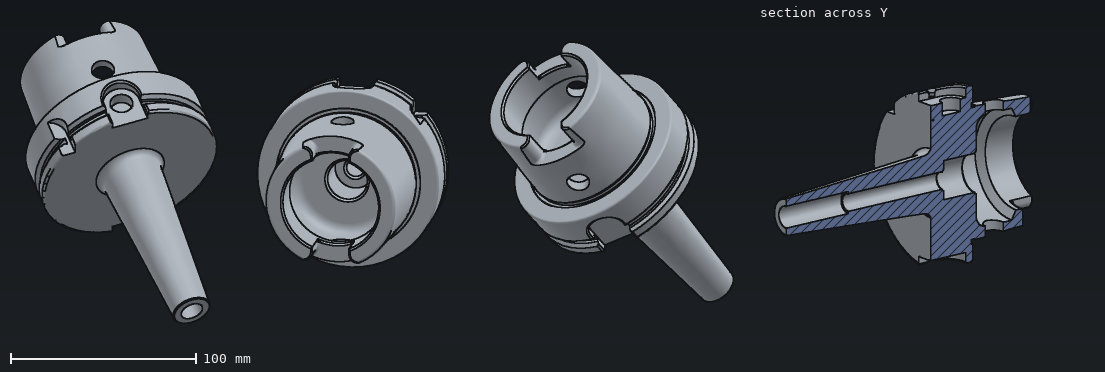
import cadquery as cq
import math

total_length = 179.0
flange_front = 49.7
flange_back = 79.0
neck_blend_end = 83.7

shank_radius = 38.0
shank_end = 47.6
taper_slope = 0.05
shank_mouth_radius = shank_radius - taper_slope * shank_end
shank_mouth_round = 1.8

undercut_radius = 37.4
undercut_start = 48.7
undercut_depth = 1.0
undercut_outer_radius = 39.7

flange_diameter = 100.0
flange_radius = flange_diameter / 2
flange_edge_round = 1.3
groove_front = 66.4
groove_back = 73.0
groove_front_run = 1.8
groove_back_run = 1.3
groove_slope_depth = 2.3
groove_depth = 4.1
groove_radius = flange_radius - groove_depth

neck_flare_radius = 19.5
nose_base_radius = 16.5
nose_tip_radius = 10.5
nose_tip_chamfer = 0.5
neck_blend_radius = 5.4

bore_radius = 26.3
bore_depth = 47.2
clamping_shoulder = 20.0
clamping_angle = 60.0
clamping_radius = 31.5
bore_floor_round = 7.0
bore_edge_chamfer = 1.0
thread_radius = 11.0
thread_depth = 69.8
thread_chamfer = 1.3
tool_bore_radius = 6.0
coolant_end = 136.0
coolant_radius = 4.8
coolant_chamfer = tool_bore_radius - coolant_radius

notch_half_width = 10.0
notch_shoulder = 32.0
lug_round = 4.7
notch_floor_round = 1.8
lug_edge_chamfer = 0.9
upper_notch_depth = 9.8
lower_notch_depth = 15.2

cross_hole_radius = 6.0
cross_hole_x = 34.9

slot_half_width = 10.0
slot_centre_x = 64.8
slot_floor = 43.8
slot_edge_chamfer = 1.0
pocket_hole_radius = 6.0
pocket_hole_depth = 7.2
corner_notch_offset = 31.5


def revolve_about_x(outline):
    return outline.close().revolve(360, (0, 0, 0), (1, 0, 0))


def make_shank():
    outline = (
        cq.Workplane("XY")
        .lineTo(0, shank_mouth_radius)
        .lineTo(shank_end, shank_radius)
        .lineTo(undercut_start, undercut_radius)
        .lineTo(flange_front + undercut_depth, undercut_radius)
        .lineTo(flange_front + undercut_depth, 0)
    )
    return revolve_about_x(outline).faces("<X").edges().fillet(shank_mouth_round)


def make_flange():
    undercut_floor = flange_front + undercut_depth
    slope_radius = flange_radius - groove_slope_depth
    outline = (
        cq.Workplane("XY")
        .moveTo(undercut_floor, 0)
        .lineTo(undercut_floor, undercut_outer_radius)
        .lineTo(flange_front, undercut_outer_radius)
        .lineTo(flange_front, flange_radius - flange_edge_round)
        .radiusArc((flange_front + flange_edge_round, flange_radius), flange_edge_round)
        .lineTo(groove_front, flange_radius)
        .lineTo(groove_front + groove_front_run, slope_radius)
        .lineTo(groove_front + groove_front_run, groove_radius)
        .lineTo(groove_back - groove_back_run, groove_radius)
        .lineTo(groove_back - groove_back_run, slope_radius)
        .lineTo(groove_back, flange_radius)
        .lineTo(flange_back - flange_edge_round, flange_radius)
        .radiusArc((flange_back, flange_radius - flange_edge_round), flange_edge_round)
        .lineTo(flange_back, 0)
    )
    return revolve_about_x(outline)


def make_nose():
    outline = (
        cq.Workplane("XY")
        .moveTo(flange_back, 0)
        .lineTo(flange_back, neck_flare_radius)
        .radiusArc((neck_blend_end, nose_base_radius), -neck_blend_radius)
        .lineTo(total_length, nose_tip_radius)
        .lineTo(total_length, 0)
    )
    return revolve_about_x(outline).faces(">X").edges().chamfer(nose_tip_chamfer)


def make_bore():
    clamping_run = (clamping_radius - bore_radius) / math.tan(math.radians(clamping_angle))
    outline = (
        cq.Workplane("XY")
        .lineTo(0, bore_radius + bore_edge_chamfer)
        .lineTo(bore_edge_chamfer, bore_radius)
        .lineTo(clamping_shoulder, bore_radius)
        .lineTo(clamping_shoulder + clamping_run, clamping_radius)
        .lineTo(bore_depth - bore_floor_round, clamping_radius)
        .radiusArc((bore_depth, clamping_radius - bore_floor_round), bore_floor_round)
        .lineTo(bore_depth, thread_radius + thread_chamfer)
        .lineTo(bore_depth + thread_chamfer, thread_radius)
        .lineTo(thread_depth, thread_radius)
        .lineTo(thread_depth, tool_bore_radius)
        .lineTo(thread_depth + coolant_chamfer, coolant_radius)
        .lineTo(coolant_end, coolant_radius)
        .lineTo(coolant_end, tool_bore_radius)
        .lineTo(total_length, tool_bore_radius)
        .lineTo(total_length, 0)
    )
    return revolve_about_x(outline)


def notch_outline(plane, widening):
    """Closed notch profile: narrow at the bore, spreading over the rounded shoulders of the lugs."""
    half_width = notch_half_width + widening
    shoulder = notch_shoulder - widening
    corner_round = lug_round - widening
    round_y = half_width + corner_round
    round_z = shoulder - corner_round
    return (
        plane.moveTo(-half_width, 0)
        .lineTo(-half_width, round_z)
        .radiusArc((-round_y, shoulder), -corner_round)
        .lineTo(-flange_radius, shoulder)
        .lineTo(-flange_radius, flange_radius)
        .lineTo(flange_radius, flange_radius)
        .lineTo(flange_radius, shoulder)
        .lineTo(round_y, shoulder)
        .radiusArc((half_width, round_z), -corner_round)
        .lineTo(half_width, 0)
        .close()
    )


def key_notch(depth):
    """Notch opening towards +Z, with chamfered lug faces and a chamfered bore edge on its floor."""
    notch = notch_outline(cq.Workplane("YZ"), 0).extrude(depth)
    notch = notch.faces(">X").edges().fillet(notch_floor_round)
    lug_chamfer = notch_outline(cq.Workplane("YZ"), lug_edge_chamfer).extrude(lug_edge_chamfer, taper=45)
    floor_chamfer = cq.Workplane(
        cq.Solid.makeCone(
            bore_radius + bore_edge_chamfer,
            bore_radius,
            bore_edge_chamfer,
            pnt=cq.Vector(depth, 0, 0),
            dir=cq.Vector(1, 0, 0),
        )
    )
    floor_width = 2 * notch_half_width
    above_axis = cq.Workplane("XY").box(
        total_length, floor_width, flange_radius, centered=(True, True, False)
    )
    return notch.union(lug_chamfer).union(floor_chamfer.intersect(above_axis))


def round_ended_slot(centre_y, floor_z):
    """Slot running along X, open towards +Z and out through the back of the flange."""
    return (
        cq.Workplane("XY", origin=(0, centre_y, floor_z))
        .moveTo(flange_back, slot_half_width)
        .lineTo(slot_centre_x, slot_half_width)
        .threePointArc((slot_centre_x - slot_half_width, 0), (slot_centre_x, -slot_half_width))
        .lineTo(flange_back, -slot_half_width)
        .close()
        .extrude(flange_radius - floor_z)
    )


def turn_over(cutter):
    return cutter.rotate((0, 0, 0), (1, 0, 0), 180)


def make_slotted_flange():
    """Plain disc with its slots cut and their rims chamfered, then trimmed to the flange profile."""
    blank = (
        cq.Workplane("YZ")
        .workplane(offset=flange_front)
        .circle(flange_radius)
        .extrude(flange_back - flange_front)
    )
    main_slot = round_ended_slot(0, slot_floor)
    blank = blank.cut(main_slot).cut(turn_over(main_slot))
    blank = blank.edges(">Z or <Z").chamfer(slot_edge_chamfer)
    corner_notch = round_ended_slot(-corner_notch_offset - slot_half_width, corner_notch_offset)
    return blank.cut(corner_notch).intersect(make_flange())


def make_cross_hole():
    return (
        cq.Workplane("XY")
        .workplane(offset=-flange_radius)
        .center(cross_hole_x, 0)
        .circle(cross_hole_radius)
        .extrude(2 * flange_radius)
    )


def make_pocket_hole():
    """Blind hole in the floor of the upper flange slot."""
    return (
        cq.Workplane("XY")
        .workplane(offset=slot_floor - pocket_hole_depth)
        .center(slot_centre_x, 0)
        .circle(pocket_hole_radius)
        .extrude(pocket_hole_depth)
    )


result = make_shank().union(make_slotted_flange()).union(make_nose())
result = result.cut(make_bore())
result = result.cut(key_notch(upper_notch_depth))
result = result.cut(turn_over(key_notch(lower_notch_depth)))
result = result.cut(make_cross_hole()).cut(make_pocket_hole())